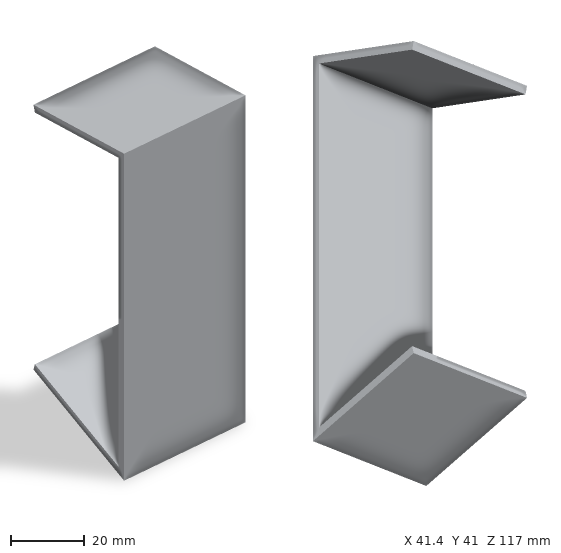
import cadquery as cq
import math

height = 117.0
depth = 41.4
width = 41.0
thickness = 2.5
flange_angle = math.radians(15.0)

back_x = depth / 2
web_inner_x = back_x - thickness
corner_z = height / 2

tip_outer_x = -depth / 2
tip_outer_z = corner_z - depth * math.tan(flange_angle)
tip_inner_x = tip_outer_x + thickness * math.sin(flange_angle)
tip_inner_z = tip_outer_z - thickness * math.cos(flange_angle)

inner_corner_z = tip_inner_z + (web_inner_x - tip_inner_x) * math.tan(flange_angle)

upper_half = [
    (back_x, corner_z),
    (tip_outer_x, tip_outer_z),
    (tip_inner_x, tip_inner_z),
    (web_inner_x, inner_corner_z),
]
lower_half = [(x, -z) for x, z in reversed(upper_half)]

result = (
    cq.Workplane("XZ")
    .polyline(upper_half + lower_half)
    .close()
    .extrude(width / 2, both=True)
)